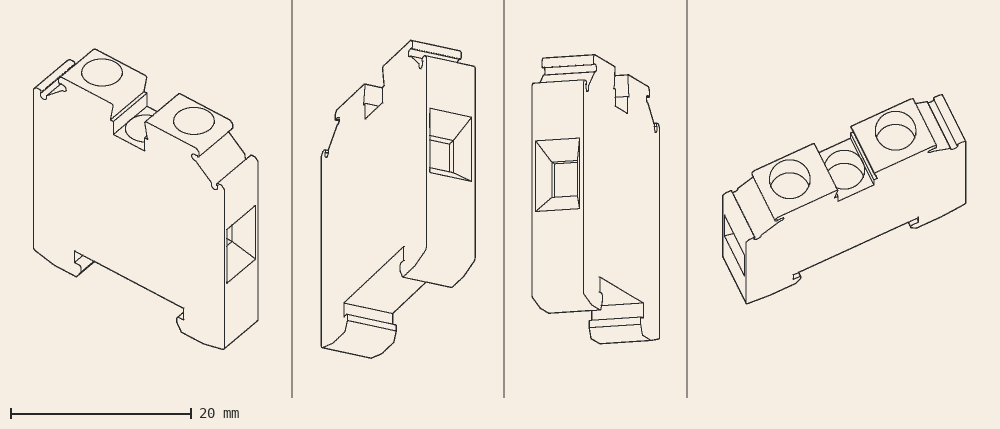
import cadquery as cq
import math

WIDTH = 27.0
THICKNESS = 6.0
HEIGHT = 28.5
SIDE = WIDTH / 2

RAIL_HALF_WIDTH = 7.7
RAIL_ROOF_Z = 3.7
HOOK_TIP_X = 6.75
HOOK_TOP_Z = 2.0
HOOK_LOWER_Z = 1.1
HOOK_TOE_X = 7.4
HOOK_RADIUS = 0.3
TOE_RADIUS = 0.23
SOLE_OUTER_X = 10.55
SOLE_RISE = 0.75
SOLE_RADIUS = 0.4

GROOVE_WIDTH = 0.85
GROOVE_RADIUS = GROOVE_WIDTH / 2
LIP_RADIUS = 0.23
LIP_STEP = 0.1
SIDE_TOP_Z = 24.57
LOWER_LIP_CHAMFER = 0.4
LOWER_CHAMFER_RADIUS = 0.15
LOWER_LIP_Z = SIDE_TOP_Z + LOWER_LIP_CHAMFER
LOWER_GROOVE_X = 12.08
LOWER_GROOVE_Z = 24.25
SLOPE_LOW_Z = 24.57
SLOPE_HIGH_X = 9.4
SLOPE_END_RADIUS = 0.23
UPPER_GROOVE_Z = 27.02
UPPER_GROOVE_X = 9.3
UPPER_LIP_X = 9.92
UPPER_LIP_ROOT_X = 9.65
UPPER_LIP_CHAMFER = 0.37
UPPER_CHAMFER_RADIUS = 0.3

SLOT_HALF_WIDTH = 2.2
SLOT_FLOOR_Z = 24.05
UNDERCUT_Z = 26.0
UNDERCUT_HALF_WIDTH = 2.62
SLOT_RIM_HALF_WIDTH = 2.2
SLOT_RIM_RADIUS = 0.23

WELL_DIAMETER = 4.5
WELL_DEPTH = 5.0
SCREW_WELL_X = 6.5
SCREW_WELL_Y = 0.4

ENTRY_Z = 14.34
FUNNEL_WIDTH = 5.13
FUNNEL_HEIGHT = 7.98
POCKET_WIDTH = 3.0
POCKET_HEIGHT = 4.0
FUNNEL_DEPTH = 2.48
POCKET_DEPTH = 1.0


def half_outline():
    """Corners (x, z, radius) of the -X half, from the rail recess round to the top slot."""
    groove_inner_x = LOWER_GROOVE_X - GROOVE_RADIUS
    groove_outer_x = LOWER_GROOVE_X + GROOVE_RADIUS
    groove_low_z = UPPER_GROOVE_Z - GROOVE_RADIUS
    groove_high_z = UPPER_GROOVE_Z + GROOVE_RADIUS
    lower_lip_x = groove_outer_x - LIP_STEP
    upper_lip_z = groove_high_z - LIP_STEP
    foot = [
        (-RAIL_HALF_WIDTH, RAIL_ROOF_Z, 0),
        (-RAIL_HALF_WIDTH, HOOK_TOP_Z, 0),
        (-HOOK_TIP_X, HOOK_TOP_Z, HOOK_RADIUS),
        (-HOOK_TIP_X, HOOK_LOWER_Z, 0),
        (-HOOK_TOE_X, 0, TOE_RADIUS),
        (-SOLE_OUTER_X, 0, 0),
        (-SIDE, SOLE_RISE, SOLE_RADIUS),
    ]
    shoulder = [
        (-SIDE, SIDE_TOP_Z, LOWER_CHAMFER_RADIUS),
        (-SIDE + LOWER_LIP_CHAMFER, LOWER_LIP_Z, LOWER_CHAMFER_RADIUS),
        (-lower_lip_x, LOWER_LIP_Z, LIP_RADIUS),
        (-lower_lip_x, SIDE_TOP_Z, 0),
        (-groove_outer_x, SIDE_TOP_Z, 0),
        (-groove_outer_x, LOWER_GROOVE_Z, 0),
        (-groove_inner_x, LOWER_GROOVE_Z, 0),
        (-groove_inner_x, SLOPE_LOW_Z, SLOPE_END_RADIUS),
        (-SLOPE_HIGH_X, groove_low_z, SLOPE_END_RADIUS),
        (-UPPER_GROOVE_X, groove_low_z, 0),
        (-UPPER_GROOVE_X, groove_high_z, 0),
        (-UPPER_LIP_ROOT_X, groove_high_z, 0),
        (-UPPER_LIP_ROOT_X, upper_lip_z, 0),
        (-UPPER_LIP_X, upper_lip_z, LIP_RADIUS),
        (-UPPER_LIP_X, HEIGHT - UPPER_LIP_CHAMFER, UPPER_CHAMFER_RADIUS),
        (-UPPER_LIP_X + UPPER_LIP_CHAMFER, HEIGHT, UPPER_CHAMFER_RADIUS),
    ]
    slot = [
        (-SLOT_RIM_HALF_WIDTH, HEIGHT, SLOT_RIM_RADIUS),
        (-UNDERCUT_HALF_WIDTH, UNDERCUT_Z, 0),
        (-SLOT_HALF_WIDTH, UNDERCUT_Z, 0),
        (-SLOT_HALF_WIDTH, SLOT_FLOOR_Z, 0),
    ]
    return foot + shoulder + slot


def rounded_corner(previous, corner, following):
    """Start, middle and end of the arc that rounds a corner tangent to both its sides."""
    x, z, radius = corner
    toward_previous = cq.Vector(previous[0] - x, previous[1] - z).normalized()
    toward_following = cq.Vector(following[0] - x, following[1] - z).normalized()
    half_angle = toward_previous.getAngle(toward_following) / 2
    setback = radius / math.tan(half_angle)
    to_arc = radius / math.sin(half_angle) - radius
    bisector = (toward_previous + toward_following).normalized()
    tip = cq.Vector(x, z)
    points = (tip + toward_previous * setback, tip + bisector * to_arc, tip + toward_following * setback)
    return [(point.x, point.y) for point in points]


def body():
    left = half_outline()
    right = [(-x, z, radius) for x, z, radius in reversed(left)]
    corners = left + right
    sketch = cq.Workplane("XZ", origin=(0, THICKNESS / 2, 0)).moveTo(*corners[0][:2])
    for index in range(1, len(corners)):
        corner = corners[index]
        if corner[2] == 0:
            sketch = sketch.lineTo(*corner[:2])
        else:
            following = corners[(index + 1) % len(corners)]
            start, middle, end = rounded_corner(corners[index - 1], corner, following)
            sketch = sketch.lineTo(*start).threePointArc(middle, end)
    return sketch.close().extrude(THICKNESS)


def groove_bottom(x, z):
    """Cutter that rounds out the square end of a marker groove."""
    start = cq.Workplane("XZ", origin=(x, THICKNESS / 2, z))
    return start.circle(GROOVE_RADIUS).extrude(THICKNESS)


def well(x, y, top_z):
    return cq.Workplane("XY", origin=(x, y, top_z)).circle(WELL_DIAMETER / 2).extrude(-WELL_DEPTH)


def wire_entry():
    """Cutter for the entry in the -X end."""
    mouth = cq.Workplane("YZ", origin=(-SIDE, 0, ENTRY_Z))
    funnel = (
        mouth.rect(FUNNEL_WIDTH, FUNNEL_HEIGHT)
        .workplane(offset=FUNNEL_DEPTH)
        .rect(POCKET_WIDTH, POCKET_HEIGHT)
        .loft(ruled=True)
    )
    pocket = mouth.workplane(offset=FUNNEL_DEPTH).rect(POCKET_WIDTH, POCKET_HEIGHT).extrude(POCKET_DEPTH)
    return funnel.union(pocket)


result = body()
for side in (-1, 1):
    result = result.cut(groove_bottom(side * LOWER_GROOVE_X, LOWER_GROOVE_Z))
    result = result.cut(groove_bottom(side * UPPER_GROOVE_X, UPPER_GROOVE_Z))
result = result.cut(well(0, 0, SLOT_FLOOR_Z))
for well_x in (-SCREW_WELL_X, SCREW_WELL_X):
    result = result.cut(well(well_x, SCREW_WELL_Y, HEIGHT))
entry = wire_entry()
result = result.cut(entry).cut(entry.mirror("YZ"))